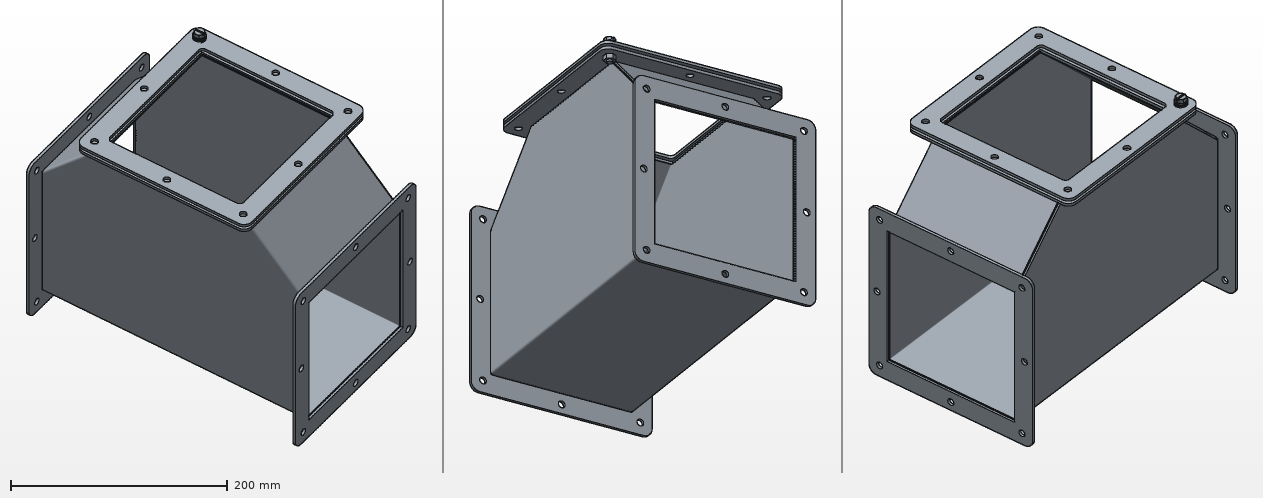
import cadquery as cq
import math

overall_length = 304.8

flange_side = 193.5
flange_thickness = 3.0
flange_corner_radius = 9.0
flange_opening = 150.5
corner_hole_offset = 84.0
middle_hole_offset = 87.2
flange_hole_diameter = 7.0
counter_opening = 151.2
counter_opening_radius = 4.5
counter_gap = 2.9

sheet_thickness = 1.98
duct_width = 152.5
bend_inner_radius = 0.75
slope_foot_rise = 76.8
duct_top_half_length = 77.0
seam_gap = 0.3

shank_diameter = 6.0
head_across_flats = 10.0
nut_across_flats = 10.5
head_chamfer_diameter = 9.8
head_height = 4.3
slot_width = 1.8
slot_depth = 1.8
nut_height = 5.0
shank_overhang = 2.0
washer_diameter = 12.8
washer_hole_diameter = 6.5
washer_thickness = 1.5
spring_washer_height = 3.0
spring_split_angle = 15
spring_start_angle = -40

axis_height = flange_side / 2
duct_half_length = overall_length / 2 - flange_thickness
duct_bottom = axis_height - duct_width / 2
slope_foot = axis_height + slope_foot_rise
duct_top = slope_foot + duct_half_length - duct_top_half_length
counter_bottom = duct_top + flange_thickness + counter_gap
counter_top = counter_bottom + flange_thickness
washer_bottom = counter_top + spring_washer_height
head_bottom = washer_bottom + washer_thickness
shank_bottom = duct_top - nut_height - shank_overhang
bolt_x = -corner_hole_offset
bolt_y = corner_hole_offset


def make_flange(opening, opening_radius=0):
    """A flange lying on the XY plane, centred on the origin."""
    plate = cq.Workplane().rect(flange_side, flange_side).extrude(flange_thickness)
    plate = plate.edges("|Z").fillet(flange_corner_radius)
    window = cq.Workplane().rect(opening, opening).extrude(flange_thickness)
    if opening_radius > 0:
        window = window.edges("|Z").fillet(opening_radius)
    c = corner_hole_offset
    m = middle_hole_offset
    centres = [(c, c), (c, -c), (-c, c), (-c, -c), (m, 0), (-m, 0), (0, m), (0, -m)]
    holes = cq.Workplane().pushPoints(centres).circle(flange_hole_diameter / 2).extrude(flange_thickness)
    return plate.cut(window).cut(holes)


def make_end_flange(inner_face_x, angle):
    """A flange standing upright, turned about Y so that it grows outward from the duct end."""
    upright = make_flange(flange_opening).rotate((0, 0, 0), (0, 1, 0), angle)
    return upright.translate((inner_face_x, 0, axis_height))


end_flanges = [make_end_flange(side * duct_half_length, side * 90) for side in (-1, 1)]
top_flange = make_flange(flange_opening).translate((0, 0, duct_top))
counter_flange = make_flange(counter_opening, counter_opening_radius).translate((0, 0, counter_bottom))


def duct_outline(inset):
    """Corner points of the duct in the XZ plane, with floor and slopes set inward by the given distance."""
    slope_shift = inset * math.sqrt(2)
    foot = slope_foot - slope_shift
    top_x = duct_top_half_length - slope_shift
    bottom = duct_bottom + inset
    return [
        (-duct_half_length, bottom),
        (duct_half_length, bottom),
        (duct_half_length, foot),
        (top_x, duct_top),
        (-top_x, duct_top),
        (-duct_half_length, foot),
    ]


def make_duct_block(inset):
    """A solid filling the duct outline, set inward all round, with the folded edges rounded."""
    outline = duct_outline(inset)
    half_width = duct_width / 2 - inset
    block = cq.Workplane("XZ").polyline(outline).close().extrude(half_width, both=True)
    foot_x, foot_z = outline[2]
    top_x, top_z = outline[3]
    folds = block.edges("|X").edges("<Z")
    for side in (-1, 1):
        slope_middle = (side * (foot_x + top_x) / 2, -half_width, (foot_z + top_z) / 2)
        folds = folds.add(block.edges(cq.NearestToPointSelector(slope_middle)))
    return folds.fillet(bend_inner_radius + sheet_thickness - inset)


def make_duct():
    """Floor with the front and back walls folded up from it, and the slopes folded from the front wall.

    The slopes stop short of the back wall, whose sloping top edges lie level with their undersides.
    """
    inside = make_duct_block(sheet_thickness)
    duct = make_duct_block(0).cut(inside)
    slope_end_y = duct_width / 2 - sheet_thickness - seam_gap
    seam_size = (overall_length, duct_width / 2 - slope_end_y, duct_top - axis_height)
    seam = cq.Workplane().box(*seam_size, centered=(True, False, False))
    seam = seam.translate((0, slope_end_y, axis_height))
    back_wall = cq.Workplane("XZ", origin=(0, duct_width / 2, 0))
    back_wall = back_wall.polyline(duct_outline(sheet_thickness)).close()
    back_wall = back_wall.extrude(sheet_thickness)
    return duct.cut(seam.cut(back_wall))


duct = make_duct()


def bolt_plane(height):
    return cq.Workplane(origin=(bolt_x, bolt_y, height))


def across_corners(across_flats):
    return across_flats / math.cos(math.pi / 6)


def make_bolt():
    shank = bolt_plane(shank_bottom).circle(shank_diameter / 2).extrude(head_bottom - shank_bottom)
    head_corners = across_corners(head_across_flats)
    head = bolt_plane(head_bottom).polygon(6, head_corners).extrude(head_height)
    head_top = head_bottom + head_height
    chamfer_width = (head_corners - head_chamfer_diameter) / 2
    chamfer_drop = chamfer_width * math.tan(math.pi / 6)
    cone = bolt_plane(head_bottom).circle(head_corners / 2).extrude(head_height)
    cone = cone.faces(">Z").chamfer(chamfer_drop, chamfer_width)
    head = head.intersect(cone)
    slot = bolt_plane(head_top - slot_depth).rect(head_corners, slot_width).extrude(slot_depth)
    return shank.union(head).cut(slot)


def make_nut():
    nut = bolt_plane(duct_top - nut_height).polygon(6, across_corners(nut_across_flats))
    return nut.extrude(nut_height).cut(bolt)


def make_flat_washer():
    ring = bolt_plane(washer_bottom).circle(washer_diameter / 2).circle(washer_hole_diameter / 2)
    return ring.extrude(washer_thickness)


def make_spring_washer():
    """A split ring of square-edged wire that climbs by half its height in one counterclockwise turn."""
    wire_height = spring_washer_height / 2
    wire_width = (washer_diameter - washer_hole_diameter) / 2
    mean_radius = (washer_diameter + washer_hole_diameter) / 4
    climb = spring_washer_height - wire_height
    turn = (360 - spring_split_angle) / 360
    helix = cq.Wire.makeHelix(climb / turn, climb, mean_radius)
    section = cq.Workplane("XZ", origin=(mean_radius, 0, 0)).rect(wire_width, wire_height)
    coil = section.sweep(helix, isFrenet=True)
    coil = coil.rotate((0, 0, 0), (0, 0, 1), spring_start_angle)
    return coil.translate((bolt_x, bolt_y, counter_top + wire_height / 2))


bolt = make_bolt()
nut = make_nut()
flat_washer = make_flat_washer()
spring_washer = make_spring_washer()

result = cq.Compound.makeCompound([
    duct.val(),
    *[flange.val() for flange in end_flanges],
    top_flange.val(),
    counter_flange.val(),
    bolt.val(),
    nut.val(),
    flat_washer.val(),
    spring_washer.val(),
])